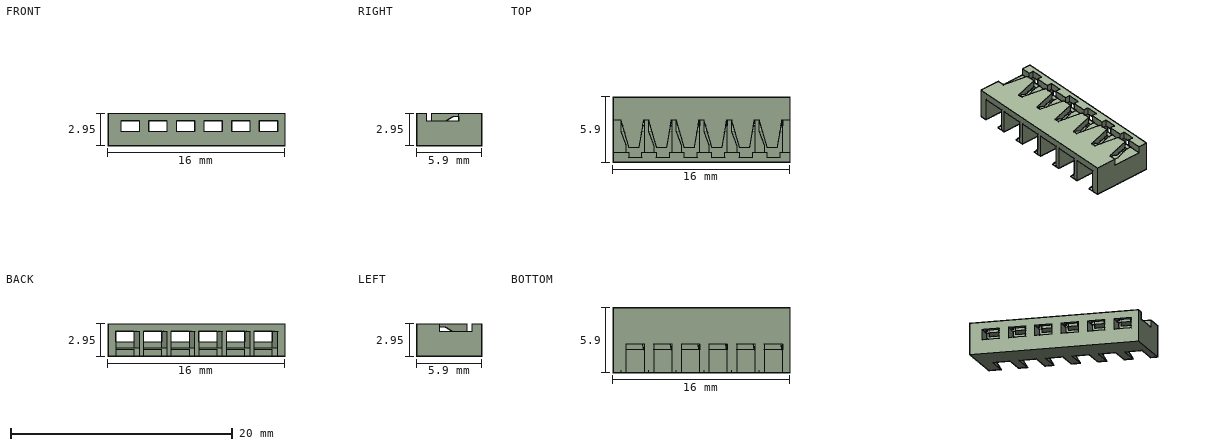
import cadquery as cq

length = 16.0
depth = 5.9
height = 2.95

cavity_count = 6
length_in_pitches = 6.4
pitch = length / length_in_pitches
chamber_width = 2.11
first_chamber_left = (length - (cavity_count - 1) * pitch - chamber_width) / 2

chamber_floor = 0.75
rear_floor = 0.03
sill_height = 1.31
ledge_height = 2.27
tongue_thin_thickness = 0.29
relief_ceiling = height - tongue_thin_thickness

front_wall = 0.43
bar_back = 0.91
tongue_tip = 1.35
taper_start = 1.52
relief_front = 2.69
ramp_front = 2.8
relief_back = 3.31
tongue_root = 3.8

window_left = 0.48
tongue_root_right = 2.06
tongue_tip_left = 0.72
tongue_tip_right = 1.63
notch_width = 1.17
notch_left = (window_left + chamber_width - notch_width) / 2


def box(x_range, y_range, z_range):
    """Axis-aligned block between the given limits."""
    sizes = [high - low for low, high in (x_range, y_range, z_range)]
    corner = (x_range[0], y_range[0], z_range[0])
    return cq.Workplane("XY").box(*sizes, centered=False).translate(corner)


def prism_up(points, bottom, top):
    """XY outline extruded between two heights."""
    return cq.Workplane("XY").workplane(offset=bottom).polyline(points).close().extrude(top - bottom)


def prism_across(points, left, right):
    """YZ outline extruded between two X positions."""
    return cq.Workplane("YZ").workplane(offset=left).polyline(points).close().extrude(right - left)


def tongue(left):
    """Tapered latch tongue that reaches forward across the top slot."""
    outline = [
        (left, tongue_root),
        (left + tongue_tip_left, tongue_tip),
        (left + tongue_tip_right, tongue_tip),
        (left + tongue_root_right, tongue_root),
    ]
    return prism_up(outline, ledge_height, height)


def cavity(left):
    """Everything removed for one contact."""
    right = left + chamber_width
    window_x = (left + window_left, right)

    window = box(window_x, (0, front_wall), (sill_height, ledge_height))

    chamber_outline = [
        (window_x[0], front_wall),
        (right, front_wall),
        (right, depth),
        (left, depth),
        (left, ramp_front),
        (window_x[0], taper_start),
    ]
    chamber = prism_up(chamber_outline, chamber_floor, ledge_height)

    ramp_outline = [
        (ramp_front, chamber_floor),
        (depth, chamber_floor),
        (depth, rear_floor),
    ]
    ramp = prism_across(ramp_outline, left, right)

    bottom_slot = box(window_x, (relief_back, depth), (0, chamber_floor))

    relief_outline = [
        (relief_front, ledge_height),
        (relief_back, relief_ceiling),
        (tongue_root, relief_ceiling),
        (tongue_root, ledge_height),
    ]
    relief = prism_across(relief_outline, left, right)

    notch_x = (left + notch_left, left + notch_left + notch_width)
    notch = box(notch_x, (front_wall, bar_back), (ledge_height, height))

    return window.union(chamber).union(ramp).union(bottom_slot).union(relief).union(notch)


result = box((0, length), (0, depth), (0, height))
result = result.cut(box((0, length), (bar_back, tongue_root), (ledge_height, height)))

chamber_lefts = [first_chamber_left + i * pitch for i in range(cavity_count)]
for chamber_left in chamber_lefts:
    result = result.union(tongue(chamber_left))
for chamber_left in chamber_lefts:
    result = result.cut(cavity(chamber_left))